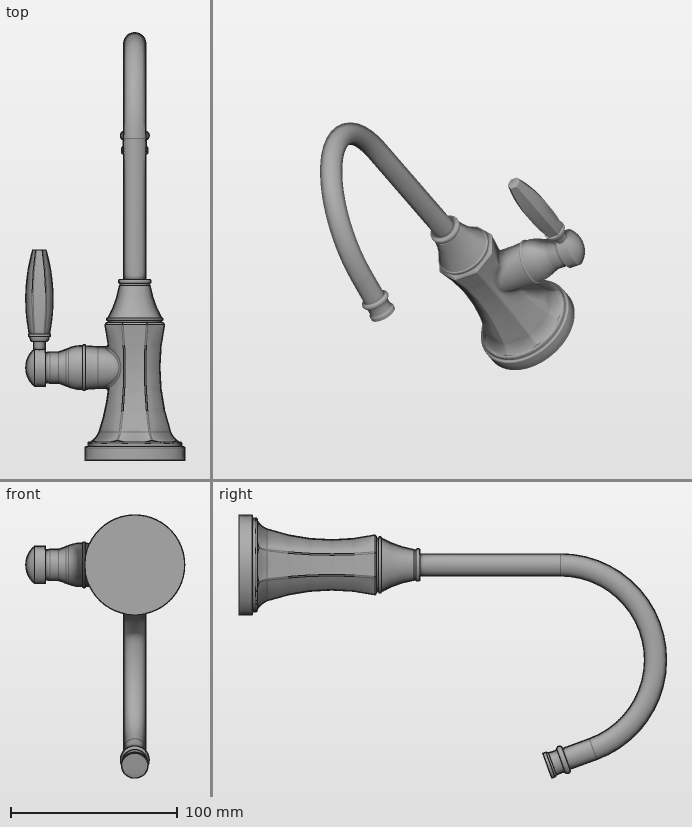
import cadquery as cq
import math

base_radius = 30.0
base_height = 8.2
base_fillet = 0.8
step_radius = 28.2
step_top = 11.0
step_fillet = 1.0

body_sides = 8
flare_top = 17.0
flare_half_width = 21.5
flare_bend_half_width = 23.5
flare_bend_height = 13.5
flare_foot_half_width = 26.7
waist_height = 55.0
waist_half_width = 15.0
body_shoulder = 81.5
body_shoulder_half_width = 18.0
body_bevel = 1.0
body_top = body_shoulder + body_bevel
body_edge_fillet = 1.3

cap_groove_top = 83.8
cap_groove_radius = 16.1
cap_rim_top = 85.3
cap_rim_radius = 17.0
bell_top = 104.8
bell_bend_height = 92.8
bell_bend_radius = 12.5
bell_top_radius = 9.2
collar_groove_radius = 9.0
collar_bottom = 106.0
collar_top = 108.5
collar_edge_radius = 9.2
collar_radius = 9.7

overall_length = 256.3
tube_radius = 6.7
bend_radius = 57.0
bend_angle = 160.0
tail_length = 17.2
bead_radius = 8.7
bead_length = 3.3
nozzle_neck_radius = 7.2
nozzle_neck_bend = 6.0
nozzle_neck_waist_radius = 7.0
nozzle_neck_end = 8.7
nozzle_lip_radius = 8.0
nozzle_lip_start = 10.0
nozzle_length = 12.0

valve_height = 55.5
stem_radius = 12.5
stem_end = 22.0
shoulder_radius = 13.0
shoulder_start = 29.5
ring_radius = 13.8
ring_end = 31.3
taper_bend = 36.0
taper_bend_radius = 12.8
taper_end = 39.7
taper_radius = 11.5
step_end = 41.3
step_stem_radius = 11.0
neck_start = 45.5
stem_flare_bend = 43.8
stem_flare_bend_radius = 10.0
neck_radius = 9.5
neck_end = 50.7
undercut_radius = 9.0
knob_start = 53.5
knob_radius = 11.3
knob_edge = 60.0
knob_tip = 65.3
stem_fillet = 1.5
tolerance = 0.03

lever_offset = 57.1
lever_sides = 6
lever_neck_radius = 3.5
lever_cup_start = 71.2
lever_cup_radius = 4.5
lever_cup_bend = 72.8
lever_cup_bend_radius = 5.6
lever_cup_rim_radius = 6.0
lever_collar_radius = 6.7
lever_collar_start = 74.3
grip_start = 75.9
grip_middle = 100.0
grip_end = 126.0
grip_start_half_width = 5.5
grip_middle_half_width = 7.2
grip_end_half_width = 3.5
grip_edge_fillet = 0.8


def turned(outline):
    """Revolve a closed (radius, Y) outline about the Y axis."""
    return outline.close().revolve(360, (0, 0, 0), (0, 1, 0))


def faceted(half_outline, sides, start, end):
    """Make a many-sided column about Y whose flats follow a (half-width, Y) outline; flats face +/-Z."""
    reach = 2 * base_radius
    half_face = reach * math.tan(math.pi / sides)
    sector = (
        cq.Workplane("XZ", origin=(0, start, 0))
        .polyline([(0, 0), (reach, -half_face), (reach, half_face)])
        .close()
        .extrude(start - end)
    )
    wedge = half_outline.close().extrude(reach, both=True).intersect(sector)
    column = None
    for i in range(sides):
        side = wedge.rotate((0, 0, 0), (0, 1, 0), 90 + i * 360 / sides)
        column = side if column is None else column.union(side)
    return column


def facet_corners(column, height):
    """Find the curved corner edges between facets that cross the given Y position."""

    def crosses(edge):
        box = edge.BoundingBox()
        return edge.geomType() != "LINE" and box.ymin < height < box.ymax

    return [edge for edge in column.edges().vals() if crosses(edge)]


def disc(radius, start, end):
    """Make a disc about the Y axis between two Y positions."""
    return cq.Workplane("XZ", origin=(0, start, 0)).circle(radius).extrude(start - end)


def make_base():
    plate = disc(base_radius, 0, base_height).faces(">Y").edges().fillet(base_fillet)
    step = disc(step_radius, base_height, step_top).faces(">Y").edges().fillet(step_fillet)
    return plate.union(step)


def make_body():
    outline = (
        cq.Workplane("XY")
        .moveTo(0, step_top)
        .lineTo(flare_foot_half_width, step_top)
        .threePointArc((flare_bend_half_width, flare_bend_height), (flare_half_width, flare_top))
        .threePointArc((waist_half_width, waist_height), (body_shoulder_half_width, body_shoulder))
        .lineTo(body_shoulder_half_width - body_bevel, body_top)
        .lineTo(0, body_top)
    )
    body = faceted(outline, body_sides, step_top, body_top)
    body = body.intersect(disc(step_radius - step_fillet, step_top, body_top))
    corners = facet_corners(body, waist_height) + facet_corners(body, flare_bend_height)
    return body.newObject(corners).fillet(body_edge_fillet)


def add_stem(body):
    """Join the plain stem to the body and round the corner where they meet."""
    stem = cq.Workplane("YZ", origin=(0, valve_height, 0)).circle(stem_radius).extrude(-stem_end)
    joined = body.union(stem)

    def is_joint(edge):
        middle = edge.positionAt(0.5)
        from_stem_axis = math.hypot(middle.y - valve_height, middle.z)
        on_stem = abs(from_stem_axis - stem_radius) < tolerance
        between_ends = -stem_end + tolerance < middle.x < 0
        return on_stem and between_ends and edge.geomType() != "LINE"

    joint = [edge for edge in joined.edges().vals() if is_joint(edge)]
    return joined.newObject(joint).fillet(stem_fillet)


def make_cap():
    return turned(
        cq.Workplane("XY")
        .moveTo(0, body_top)
        .lineTo(cap_groove_radius, body_top)
        .lineTo(cap_groove_radius, cap_groove_top)
        .threePointArc((cap_rim_radius, (cap_groove_top + cap_rim_top) / 2), (cap_groove_radius, cap_rim_top))
        .threePointArc((bell_bend_radius, bell_bend_height), (bell_top_radius, bell_top))
        .lineTo(collar_groove_radius, bell_top)
        .lineTo(collar_groove_radius, collar_bottom)
        .lineTo(collar_edge_radius, collar_bottom)
        .threePointArc((collar_radius, (collar_bottom + collar_top) / 2), (collar_edge_radius, collar_top))
        .lineTo(0, collar_top)
    )


def make_nozzle():
    """Make the nozzle along Y from the origin; the caller places it at the end of the tail."""
    return turned(
        cq.Workplane("XY")
        .lineTo(tube_radius, 0)
        .threePointArc((bead_radius, bead_length / 2), (nozzle_neck_radius, bead_length))
        .threePointArc((nozzle_neck_waist_radius, nozzle_neck_bend), (nozzle_neck_radius, nozzle_neck_end))
        .lineTo(nozzle_lip_radius, nozzle_lip_start)
        .lineTo(nozzle_lip_radius, nozzle_length)
        .lineTo(0, nozzle_length)
    )


def make_spout():
    bend_start = overall_length - bend_radius - tube_radius

    def bend_point(angle):
        turn = math.radians(angle)
        return bend_start + bend_radius * math.sin(turn), bend_radius * (math.cos(turn) - 1)

    bend_end = bend_point(bend_angle)
    tail_turn = math.radians(bend_angle)
    tail_end = (
        bend_end[0] + tail_length * math.cos(tail_turn),
        bend_end[1] - tail_length * math.sin(tail_turn),
    )
    path = (
        cq.Workplane("YZ")
        .moveTo(collar_top, 0)
        .lineTo(bend_start, 0)
        .threePointArc(bend_point(bend_angle / 2), bend_end)
        .lineTo(*tail_end)
    )
    tube = cq.Workplane("XZ", origin=(0, collar_top, 0)).circle(tube_radius).sweep(path)
    nozzle = make_nozzle().rotate((0, 0, 0), (1, 0, 0), -bend_angle).translate((0, *tail_end))
    return tube.union(nozzle)


def make_valve():
    outline = (
        cq.Workplane("XY")
        .moveTo(0, stem_end)
        .lineTo(stem_radius, stem_end)
        .lineTo(shoulder_radius, shoulder_start)
        .threePointArc((ring_radius, (shoulder_start + ring_end) / 2), (shoulder_radius, ring_end))
        .threePointArc((taper_bend_radius, taper_bend), (taper_radius, taper_end))
        .lineTo(step_stem_radius, step_end)
        .threePointArc((stem_flare_bend_radius, stem_flare_bend), (neck_radius, neck_start))
        .lineTo(neck_radius, neck_end)
        .lineTo(undercut_radius, knob_start)
        .lineTo(knob_radius, knob_start)
        .lineTo(knob_radius, knob_edge)
    )
    dome_rise = knob_tip - knob_edge
    dome_radius = (knob_radius**2 + dome_rise**2) / (2 * dome_rise)
    dome_middle = math.asin(knob_radius / dome_radius) / 2
    dome_point = (
        dome_radius * math.sin(dome_middle),
        knob_tip - dome_radius * (1 - math.cos(dome_middle)),
    )
    valve = turned(outline.threePointArc(dome_point, (0, knob_tip)))
    return valve.rotate((0, 0, 0), (0, 0, 1), 90).translate((0, valve_height, 0))


def make_lever():
    stalk = turned(
        cq.Workplane("XY")
        .moveTo(0, valve_height)
        .lineTo(lever_neck_radius, valve_height)
        .lineTo(lever_neck_radius, lever_cup_start)
        .lineTo(lever_cup_radius, lever_cup_start)
        .threePointArc((lever_cup_bend_radius, lever_cup_bend), (lever_cup_rim_radius, lever_collar_start))
        .lineTo(lever_collar_radius, lever_collar_start)
        .lineTo(lever_collar_radius, grip_start)
        .lineTo(0, grip_start)
    )
    grip_outline = (
        cq.Workplane("XY")
        .moveTo(0, grip_start)
        .lineTo(grip_start_half_width, grip_start)
        .threePointArc((grip_middle_half_width, grip_middle), (grip_end_half_width, grip_end))
        .lineTo(0, grip_end)
    )
    grip = faceted(grip_outline, lever_sides, grip_start, grip_end)
    grip = grip.newObject(facet_corners(grip, grip_middle)).fillet(grip_edge_fillet)
    return stalk.union(grip).translate((-lever_offset, 0, 0))


result = (
    add_stem(make_body())
    .union(make_base())
    .union(make_cap())
    .union(make_spout())
    .union(make_valve())
    .union(make_lever())
)